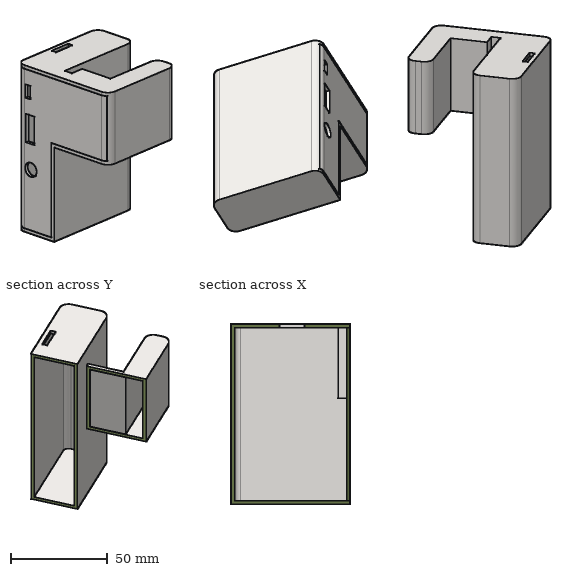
import cadquery as cq

TOTAL_X = 63.8
TOTAL_Y = 62.0
TOTAL_Z = 93.5

WALL = 2.0
CORNER_RADIUS = 5.0
LID_GAP = 0.1

TOWER_X = 25.8

BRIDGE_BOTTOM = 53.0
BRIDGE_Y = 8.2
SHOULDER_START_X = 30.8
SHOULDER_Y = 16.2
ARM_START_X = 50.5
ARM_Y = 52.1

LID_SLOTS = [
    (5.8, 9.2, 75.4, 82.9),
    (6.2, 12.1, 50.5, 66.5),
]

ROUND_HOLE_X = 9.6
ROUND_HOLE_Z = 36.0
ROUND_HOLE_DIAMETER = 7.95

TOP_SLOT_LEFT = 2.6
TOP_SLOT_RIGHT = 5.4
TOP_SLOT_FRONT = 23.8
TOP_SLOT_BACK = 36.65


def box(x0, x1, y0, y1, z0, z1):
    """Box between two opposite corners."""
    return cq.Workplane("XY").box(x1 - x0, y1 - y0, z1 - z0, centered=False).translate((x0, y0, z0))


def round_upright_edges(body, corners, radius):
    """Round the vertical edges that stand at the given (x, y) corners."""
    reach = radius / 2
    for x, y in corners:
        around_corner = cq.selectors.BoxSelector(
            (x - reach, y - reach, 0), (x + reach, y + reach, TOTAL_Z)
        )
        body = body.edges("|Z").edges(around_corner).fillet(radius)
    return body


def hook_body(inset):
    """Tower, bridge, shoulder and arm, drawn in by the inset on every side but the flat front."""
    left = inset
    right = TOTAL_X - inset
    top = TOTAL_Z - inset
    bridge_bottom = BRIDGE_BOTTOM + inset
    tower_right = TOWER_X - inset
    tower_back = TOTAL_Y - inset
    shoulder_left = SHOULDER_START_X + inset
    arm_left = ARM_START_X + inset
    arm_back = ARM_Y - inset

    body = (
        box(left, tower_right, 0, tower_back, inset, top)
        .union(box(left, right, 0, BRIDGE_Y - inset, bridge_bottom, top))
        .union(box(shoulder_left, right, 0, SHOULDER_Y - inset, bridge_bottom, top))
        .union(box(arm_left, right, 0, arm_back, bridge_bottom, top))
    )
    back_corners = [
        (left, tower_back),
        (tower_right, tower_back),
        (arm_left, arm_back),
        (right, arm_back),
    ]
    return round_upright_edges(body, back_corners, CORNER_RADIUS - inset)


def outer_block():
    """Outside shape of the housing as a full block, with its front corners rounded too."""
    front_corners = [(0, 0), (TOTAL_X, 0)]
    return round_upright_edges(hook_body(0), front_corners, CORNER_RADIUS)


def make_housing():
    """Hollow housing, open at the front, with a slot in the top of the tower."""
    cavity = hook_body(WALL)
    top_slot = box(
        TOP_SLOT_LEFT, TOP_SLOT_RIGHT, TOP_SLOT_FRONT, TOP_SLOT_BACK, TOTAL_Z - WALL, TOTAL_Z
    )
    return outer_block().cut(cavity).cut(top_slot)


def make_lid():
    """L-shaped plate that closes the open front, flush with the housing and its rounded corners."""
    front_slab = box(0, TOTAL_X, 0, WALL, 0, TOTAL_Z)
    lid = hook_body(WALL + LID_GAP).intersect(front_slab).intersect(outer_block())
    for left, right, bottom, top in LID_SLOTS:
        lid = lid.cut(box(left, right, 0, WALL, bottom, top))
    round_hole = (
        cq.Workplane("XZ")
        .center(ROUND_HOLE_X, ROUND_HOLE_Z)
        .circle(ROUND_HOLE_DIAMETER / 2)
        .extrude(-WALL)
    )
    return lid.cut(round_hole)


housing = make_housing()
lid = make_lid()
result = cq.Compound.makeCompound([housing.solids().val(), lid.solids().val()])